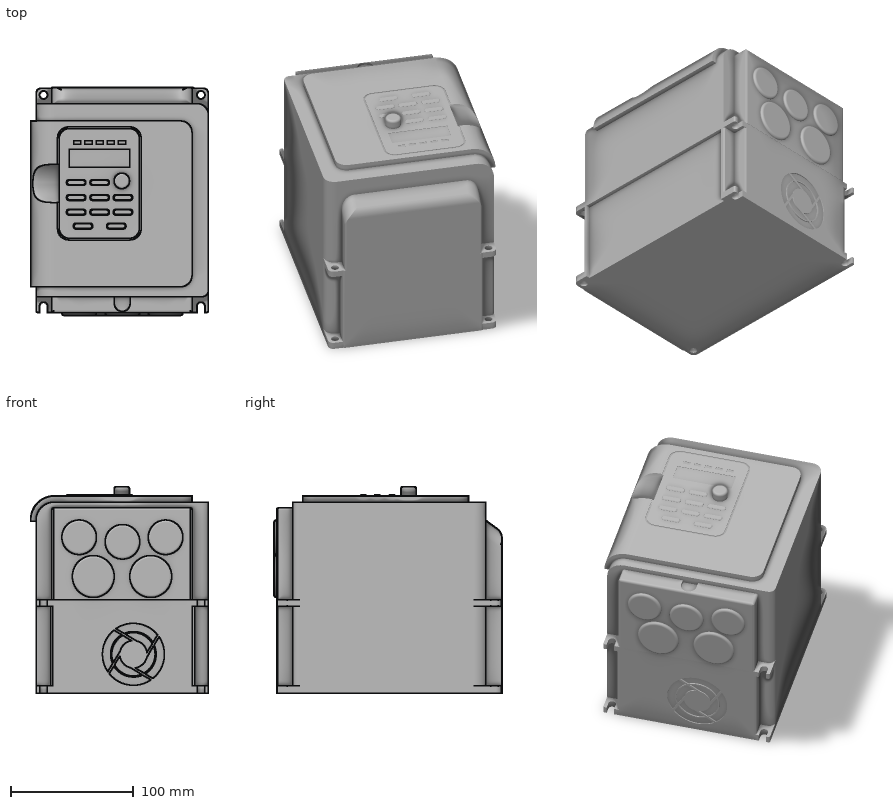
import cadquery as cq


body_width = 140.6
body_front = 12.8
body_back = 170.4
body_top = 155.9
body_bend_radius = 14.7
front_corner_radius = 5.4
back_corner_radius = 9.3

lid_overhang = 4.5
lid_right = 127.2
lid_front = 21.0
lid_back = 156.2
lid_top = 161.0
lid_lip = 140.2
lid_bend_radius = 19.7
lid_corner_radius = 9.3

block_left = 12.0
block_right = 129.3
block_back = 183.5
block_back_radius = 1.7

bevel_width = 1.7
bevel_depth = 0.7

plate_levels = ((0, 6.0), (71.0, 76.3))
plate_back = 183.0
plate_back_radius = 4.5
plate_front_radius = 1.5
block_top = plate_levels[1][1]
recess_top = plate_levels[1][0]
tab_hole_inset = 6.1
tab_hole_diameter = 6.3
tab_hole_y = 177.5
tab_slot_y = 5.2

side_recess_depth = 3.5
side_recess_front = 15.6
side_recess_back = 168.3
column_front = 12.0
column_front_radius = 1.3
column_back = 172.5
column_back_radius = 2.6

panel_left = 12.8
panel_right = 127.5
panel_face = -0.2
panel_top = 151.4
panel_top_radius = 2.0
latch_x = 70.3
latch_width = 12.8
latch_front = 1.0
latch_depth = 2.2

small_knockout = 14.1
large_knockout = 17.1
knockouts = (
    (35.2, 127.2, small_knockout),
    (70.5, 123.5, small_knockout),
    (105.6, 127.2, small_knockout),
    (46.7, 95.2, large_knockout),
    (93.5, 95.2, large_knockout),
)
knockout_face = -2.5
knockout_edge_radius = 2.0

fan_x = 79.5
fan_z = 31.8
fan_radius = 25.3
fan_ring_outer = 18.6
fan_ring_inner = 17.7
fan_hub_radius = 11.2
fan_depth = 1.0
spoke_count = 4
spoke_width = 1.9
spoke_offset = 9.7
spoke_angle = 149

cap_left = panel_left
cap_right = panel_right
cap_top_at_body = 141.0
cap_top_at_back = 131.3
cap_side_radius = 10.6
cap_back_radius = 9.3
cap_upright_radius = 1.7

keypad_left = 17.5
keypad_right = 85.7
keypad_front = 59.1
keypad_back = 151.4
keypad_corner_radius = 9.3
groove_width = 1.5
groove_depth = 0.5
window_depth = 0.4
display_size = (49.5, 14.5)
display_center = (51.9, 126.0)
lamp_count = 5
lamp_size = (6.0, 2.8)
lamp_first_x = 33.7
lamp_pitch = 9.1
lamp_y = 138.8
button_length = 15.8
button_width = 4.8
button_height = 0.7
button_chamfer = 0.5
button_columns = (32.7, 51.9, 70.9)
button_rows = (106.0, 93.7, 81.8)
bottom_button_columns = (38.3, 65.5)
bottom_button_row = 70.5
knob_center = (70.0, 107.3)
knob_radius = 6.3
knob_top = 168.5
knob_edge_radius = 1.9

scoop_y = 105.3
scoop_radius = 14.5
scoop_floor_width = 3.0
scoop_bottom = 150.0


def box(x0, x1, y0, y1, z0, z1):
    return cq.Workplane("XY").box(x1 - x0, y1 - y0, z1 - z0, centered=False).translate((x0, y0, z0))


def front_disc(x, z, radius, y_front, y_back):
    """Cylinder along Y between two depths."""
    return cq.Workplane("XZ", origin=(x, y_front, z)).circle(radius).extrude(y_front - y_back)


def bent_block(left, right, front, back, bottom, top, radius):
    """Block whose upper left edge is rounded."""
    return box(left, right, front, back, bottom, top).edges("|Y and <X and >Z").fillet(radius)


def housing():
    body = bent_block(0, body_width, body_front, body_back, 0, body_top, body_bend_radius)
    body = body.edges("|Z and >X and <Y").fillet(front_corner_radius)
    return body.edges("|Z and >X and >Y").fillet(back_corner_radius)


def lid():
    cover = bent_block(-lid_overhang, lid_right, lid_front, lid_back, lid_lip, lid_top, lid_bend_radius)
    return cover.edges("|Z and >X").fillet(lid_corner_radius)


def beveled_block(left, right, front, back, bottom, top):
    """Block whose upright front edges are beveled."""
    outline = [
        (left, back),
        (left, front + bevel_depth),
        (left + bevel_width, front),
        (right - bevel_width, front),
        (right, front + bevel_depth),
        (right, back),
    ]
    return cq.Workplane("XY", origin=(0, 0, bottom)).polyline(outline).close().extrude(top - bottom)


def lower_block():
    block = beveled_block(block_left, block_right, 0, block_back, 0, block_top)
    return block.edges("|Z and >Y").fillet(block_back_radius)


def corner_columns():
    """Thickened lower left corners of the housing, beside the front and rear blocks."""
    column_right = block_left + block_back_radius
    columns = box(0, column_right, column_front, column_back, 0, recess_top)
    columns = columns.edges("|Z and <X and <Y").fillet(column_front_radius)
    return columns.edges("|Z and <X and >Y").fillet(column_back_radius)


def mounting_plate(bottom, top):
    """Plate with round holes in the rear tabs and open slots in the front tabs."""
    plate = box(0, body_width, 0, plate_back, bottom, top)
    plate = plate.edges("|Z and >Y").fillet(plate_back_radius)
    plate = plate.edges("|Z and <Y").fillet(plate_front_radius)
    hole_radius = tab_hole_diameter / 2
    for x in (tab_hole_inset, body_width - tab_hole_inset):
        holes = cq.Workplane("XY", origin=(0, 0, bottom)).pushPoints([(x, tab_hole_y), (x, tab_slot_y)])
        plate = plate.cut(holes.circle(hole_radius).extrude(top - bottom))
        plate = plate.cut(box(x - hole_radius, x + hole_radius, 0, tab_slot_y, bottom, top))
    return plate


def cable_panel():
    """Front panel with softened edges and a latch notch in its top."""
    panel = beveled_block(panel_left, panel_right, panel_face, body_front, block_top, panel_top)
    rounded_top = box(panel_left, panel_right, panel_face, body_front, block_top, panel_top)
    rounded_top = rounded_top.edges(">Z and (not >Y)").fillet(panel_top_radius)
    panel = panel.intersect(rounded_top)
    radius = latch_width / 2
    notch_bottom = panel_top - latch_depth
    arc_y = latch_front + radius
    notch = box(latch_x - radius, latch_x + radius, arc_y, body_front, notch_bottom, panel_top)
    notch_end = cq.Workplane("XY", origin=(latch_x, arc_y, notch_bottom)).circle(radius).extrude(latch_depth)
    return panel.cut(notch).cut(notch_end)


def knockout(x, z, radius):
    disc = front_disc(x, z, radius, knockout_face, body_front)
    return disc.faces("<Y").edges().fillet(knockout_edge_radius)


def fan_openings():
    """Shallow annular openings divided by a thin ring and tangential spokes."""
    outer = front_disc(fan_x, fan_z, fan_radius, 0, fan_depth)
    outer = outer.cut(front_disc(fan_x, fan_z, fan_ring_outer, 0, fan_depth))
    inner = front_disc(fan_x, fan_z, fan_ring_inner, 0, fan_depth)
    openings = outer.union(inner).cut(front_disc(fan_x, fan_z, fan_hub_radius, 0, fan_depth))
    for index in range(spoke_count):
        inner_side = -spoke_offset + spoke_width / 2
        spoke = box(0, fan_radius, 0, fan_depth, inner_side - spoke_width, inner_side)
        turn = -(spoke_angle + index * 360 / spoke_count)
        spoke = spoke.rotate((0, 0, 0), (0, 1, 0), turn).translate((fan_x, 0, fan_z))
        openings = openings.cut(spoke)
    return openings


def sloped_cap():
    outline = [
        (body_back, block_top),
        (block_back, block_top),
        (block_back, cap_top_at_back),
        (body_back, cap_top_at_body),
    ]
    cap = cq.Workplane("YZ", origin=(cap_left, 0, 0)).polyline(outline).close()
    return cap.extrude(cap_right - cap_left)


def rear_cap():
    """Block on the back whose sloped top is rounded into its sides and rear."""
    middle = (cap_left + cap_right) / 2
    slope_y = (body_back + block_back) / 2
    slope_z = (cap_top_at_body + cap_top_at_back) / 2
    back_edge = cq.NearestToPointSelector((middle, block_back, cap_top_at_back))
    back_rounded = sloped_cap().edges(back_edge).fillet(cap_back_radius)
    side_rounded = sloped_cap()
    for x in (cap_left, cap_right):
        side_edge = cq.NearestToPointSelector((x, slope_y, slope_z))
        side_rounded = side_rounded.edges(side_edge).fillet(cap_side_radius)
    upright_rounded = box(cap_left, cap_right, body_back, block_back, block_top, cap_top_at_body)
    upright_rounded = upright_rounded.edges("|Z and >Y").fillet(cap_upright_radius)
    return side_rounded.intersect(back_rounded).intersect(upright_rounded)


def finger_scoop():
    start = -lid_overhang
    length = keypad_left + groove_width - start
    center_z = scoop_bottom + scoop_radius
    profile = cq.Workplane("YZ", origin=(start, scoop_y, center_z))
    return profile.slot2D(2 * scoop_radius + scoop_floor_width, 2 * scoop_radius).extrude(length)


def keypad_plate(inset, depth):
    """Rounded keypad outline shrunk by the inset, sunk from the cover surface."""
    plate = box(
        keypad_left + inset,
        keypad_right - inset,
        keypad_front + inset,
        keypad_back - inset,
        lid_top - depth,
        lid_top,
    )
    return plate.edges("|Z").fillet(keypad_corner_radius - inset)


def keypad_windows():
    """Sunken display and indicator lamps."""
    level = cq.Workplane("XY", origin=(0, 0, lid_top - window_depth))
    display = level.center(*display_center).rect(*display_size).extrude(window_depth)
    lamps = [(lamp_first_x + index * lamp_pitch, lamp_y) for index in range(lamp_count)]
    return display.union(level.pushPoints(lamps).rect(*lamp_size).extrude(window_depth))


def buttons():
    centers = [(x, y) for x in button_columns for y in button_rows]
    knob_place = (button_columns[-1], button_rows[0])
    centers.remove(knob_place)
    centers += [(x, bottom_button_row) for x in bottom_button_columns]
    keys = cq.Workplane("XY", origin=(0, 0, lid_top)).pushPoints(centers)
    keys = keys.slot2D(button_length, button_width).extrude(button_height)
    return keys.faces(">Z").chamfer(button_chamfer)


def knob():
    post = cq.Workplane("XY", origin=(*knob_center, lid_top)).circle(knob_radius).extrude(knob_top - lid_top)
    return post.faces(">Z").edges().fillet(knob_edge_radius)


result = housing().union(lid()).union(lower_block()).union(corner_columns())
for plate_bottom, plate_top in plate_levels:
    result = result.union(mounting_plate(plate_bottom, plate_top))
result = result.union(cable_panel()).union(rear_cap())
for x, z, radius in knockouts:
    result = result.union(knockout(x, z, radius))
result = result.cut(box(0, side_recess_depth, side_recess_front, side_recess_back, 0, recess_top))
result = result.cut(fan_openings())
result = result.cut(finger_scoop())
result = result.cut(keypad_plate(0, groove_depth).cut(keypad_plate(groove_width, groove_depth)))
result = result.cut(keypad_windows())
result = result.union(buttons()).union(knob())